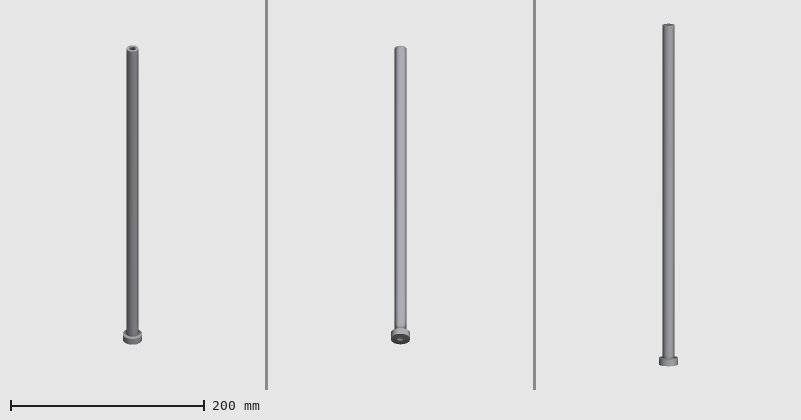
import cadquery as cq

total_length = 357.0
head_diameter = 20.0
head_height = 7.0
shaft_diameter = 12.0
bore_diameter = 6.5
root_fillet_radius = 0.43

head = cq.Workplane("XY").circle(head_diameter / 2).extrude(head_height)
shaft = cq.Workplane("XY").circle(shaft_diameter / 2).extrude(total_length)
bore = cq.Workplane("XY").circle(bore_diameter / 2).extrude(total_length)

pin = head.union(shaft)
shaft_circles = pin.edges(cq.selectors.RadiusNthSelector(0))
pin = shaft_circles.edges("<Z").fillet(root_fillet_radius)

result = pin.cut(bore)